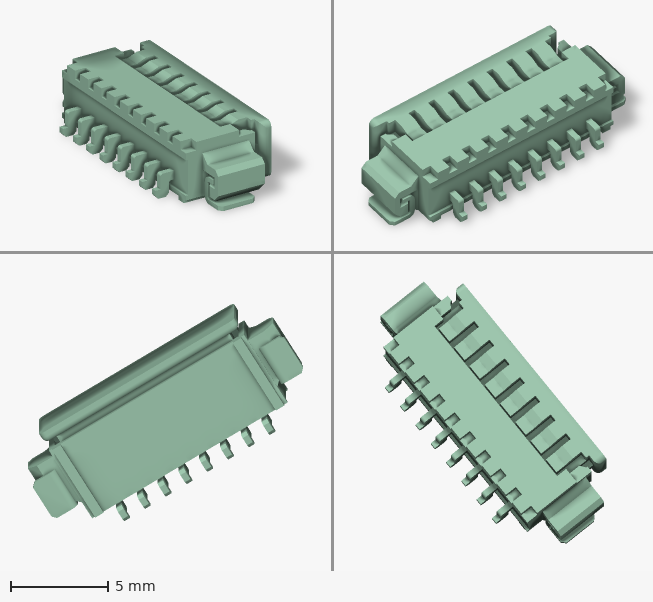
import cadquery as cq

pin_count = 8
contact_row_length = 8.75
pitch = contact_row_length / (pin_count - 1)
total_height = 3.4
total_depth = 6.2
plug_back_y = total_depth / 2
header_depth = 4.23
mate_y = header_depth / 2
window_end_y = 0.55
cavity_floor_z = 0.64
cavity_top_z = 2.55

header_back_y = -mate_y
header_bottom_z = 0.23
cavity_half_x = 5.25
window_half_x = 5.01
lip_top_z = 3.01
lip_end_y = 1.14
mouth_half_x = 5.55
mouth_taper_start_y = 2.03
mouth_taper_end_y = 1.82
recess_bottom_z = 0.5
recess_top_z = 2.51
recess_depth = 0.14
notch_width = 0.5
notch_depth_y = 0.65
notch_depth_z = 0.48
header_half_x = ((pin_count + 1) * pitch + notch_width) / 2
rail_width = 0.5
rail_center_x = 5.44

hook_front_y = -1.1
hook_back_y = 1.74
hook_outer_x = 7.38
hook_top_z = 2.2
hook_top_chamfer = 0.27
hook_shoulder_x = 6.35
hook_lower_z = 0.8
mouth_flare = 0.2

tab_thickness = 0.25
tab_tip_x = 7.58
tab_leg_x = 6.1
tab_arm_x = 6.85
tab_top_z = 1.53
tab_back_y = 1.12
tab_corner = 0.21
tab_inner_radius = 0.12

pin_width = 0.33
pin_top_z = 1.36
pin_thickness = 0.5
pin_leg_y = -2.79
pin_tip_y = -plug_back_y
pin_foot_z = 0.5
pin_foot_chamfer = 0.18
pin_bend_radius = 0.14

flange_front_y = 2.5
flange_bottom_z = 0.21
flange_radius = 0.32
finger_slot_width = 0.4
plug_half_x = (pin_count * pitch + finger_slot_width) / 2
finger_slot_end_y = 2.3
finger_slope_start_y = 1.75
finger_slope_end_y = 1.23
finger_low_z = 3.18
finger_end_y = 0.67
collar_bottom_z = 1.5
collar_top_z = 2.1
collar_dip = 0.06


def box(x0, x1, y0, y1, z0, z1):
    return cq.Workplane("XY").box(x1 - x0, y1 - y0, z1 - z0, centered=False).translate((x0, y0, z0))


def along_y(points, y_front, y_back):
    """Extrude an (x, z) outline from y_front to y_back."""
    return cq.Workplane("XZ", origin=(0, y_back, 0)).polyline(points).close().extrude(y_back - y_front)


def along_z(points, z_bottom, z_top):
    """Extrude an (x, y) outline from z_bottom to z_top."""
    return cq.Workplane("XY", origin=(0, 0, z_bottom)).polyline(points).close().extrude(z_top - z_bottom)


def pitch_positions(count):
    """X of each member of a row of `count` features centred on X = 0."""
    return [(i - (count - 1) / 2) * pitch for i in range(count)]


def header_block():
    block = box(-header_half_x, header_half_x, header_back_y, mate_y, header_bottom_z, total_height)
    recess = box(-header_half_x, header_half_x, header_back_y, header_back_y + recess_depth,
                 recess_bottom_z, recess_top_z)
    block = block.cut(recess)
    for x in pitch_positions(pin_count + 2):
        notch = box(x - notch_width / 2, x + notch_width / 2, header_back_y, header_back_y + notch_depth_y,
                    total_height - notch_depth_z, total_height)
        block = block.cut(notch)
    for x in (-rail_center_x, rail_center_x):
        rail = box(x - rail_width / 2, x + rail_width / 2, header_back_y, mate_y, 0, header_bottom_z)
        block = block.union(rail)
    return block


def mouth_plan(wide_end_y):
    """Plan of the tapered mouth, with its wide end carried to wide_end_y."""
    return [
        (-mouth_half_x, wide_end_y),
        (-mouth_half_x, mouth_taper_start_y),
        (-cavity_half_x, mouth_taper_end_y),
        (cavity_half_x, mouth_taper_end_y),
        (mouth_half_x, mouth_taper_start_y),
        (mouth_half_x, wide_end_y),
    ]


def mating_opening():
    """Cavity, roof window, lowered side walls and tapered mouth, as one cutter."""
    cavity = box(-cavity_half_x, cavity_half_x, window_end_y, mate_y, cavity_floor_z, cavity_top_z)
    window = box(-window_half_x, window_half_x, window_end_y, mate_y, cavity_top_z, total_height)
    lip_gap = box(-cavity_half_x, cavity_half_x, lip_end_y, mate_y, cavity_top_z, total_height)
    above_lips = box(-header_half_x, header_half_x, lip_end_y, mate_y, lip_top_z, total_height)
    mouth = along_z(mouth_plan(mate_y), cavity_floor_z, total_height)
    return cavity.union(window).union(lip_gap).union(above_lips).union(mouth)


def tab_outline(growth=0.0):
    """Sharp-cornered (x, z) outline of the left tab (foot, upright leg, upper arm), grown outward."""
    tip_x = -tab_tip_x - growth
    arm_x = -tab_arm_x - growth
    leg_outer_x = -tab_leg_x - tab_thickness - growth
    leg_inner_x = -tab_leg_x + growth
    arm_bottom_z = tab_top_z - tab_thickness - growth
    arm_top_z = tab_top_z + growth
    foot_bottom_z = -growth
    foot_top_z = tab_thickness + growth
    return [
        (tip_x, foot_bottom_z),
        (leg_inner_x, foot_bottom_z),
        (leg_inner_x, arm_top_z),
        (arm_x, arm_top_z),
        (arm_x, arm_bottom_z),
        (leg_outer_x, arm_bottom_z),
        (leg_outer_x, foot_top_z),
        (tip_x, foot_top_z),
    ]


def left_hook():
    slope_run = hook_lower_z - tab_thickness
    shoulder_rise = hook_shoulder_x - header_half_x
    body = along_y(
        [
            (-header_half_x, tab_thickness),
            (-hook_outer_x + slope_run, tab_thickness),
            (-hook_outer_x, hook_lower_z),
            (-hook_outer_x, hook_top_z - hook_top_chamfer),
            (-hook_outer_x + hook_top_chamfer, hook_top_z),
            (-hook_shoulder_x, hook_top_z),
            (-header_half_x, hook_top_z + shoulder_rise),
        ],
        hook_front_y, hook_back_y,
    )
    flare = (
        cq.Workplane("XZ", origin=(0, hook_front_y + mouth_flare, 0))
        .polyline(tab_outline()).close()
        .workplane(offset=mouth_flare)
        .polyline(tab_outline(mouth_flare)).close()
        .loft(ruled=True)
    )
    return body.cut(flare)


def left_tab():
    tab = along_y(tab_outline(), hook_front_y, tab_back_y)
    middle_y = (hook_front_y + tab_back_y) / 2
    inner_corner_x = -tab_leg_x - tab_thickness
    bends = [
        (-tab_leg_x, 0, tab_inner_radius + tab_thickness),
        (-tab_leg_x, tab_top_z, tab_inner_radius + tab_thickness),
        (inner_corner_x, tab_thickness, tab_inner_radius),
        (inner_corner_x, tab_top_z - tab_thickness, tab_inner_radius),
    ]
    for x, z, radius in bends:
        tab = tab.edges(cq.selectors.NearestToPointSelector((x, middle_y, z))).fillet(radius)
    return tab.edges("|Z and <X").chamfer(tab_corner)


def contact_tail(x):
    root_y = header_back_y + recess_depth
    inner_y = pin_leg_y + pin_thickness
    outline = [
        (root_y, pin_top_z),
        (pin_leg_y, pin_top_z),
        (pin_leg_y, pin_foot_z),
        (pin_tip_y, pin_foot_z),
        (pin_tip_y, pin_foot_chamfer),
        (pin_tip_y + pin_foot_chamfer, 0),
        (inner_y - pin_foot_chamfer, 0),
        (inner_y, pin_foot_chamfer),
        (inner_y, pin_top_z - pin_thickness),
        (root_y, pin_top_z - pin_thickness),
    ]
    tail = cq.Workplane("YZ", origin=(x - pin_width / 2, 0, 0)).polyline(outline).close().extrude(pin_width)
    bends = [(x, pin_leg_y, pin_top_z), (x, inner_y, pin_top_z - pin_thickness)]
    for bend in bends:
        tail = tail.edges(cq.selectors.NearestToPointSelector(bend)).fillet(pin_bend_radius)
    return tail


def make_header():
    header = header_block().cut(mating_opening())
    left_side = left_hook().union(left_tab())
    header = header.union(left_side).union(left_side.mirror("YZ"))
    for x in pitch_positions(pin_count):
        header = header.union(contact_tail(x))
    return header


def plug_flange():
    """Plate rounded along its sides and bottom, with a plain top edge at the front."""
    plate = box(-header_half_x, header_half_x, flange_front_y, plug_back_y, flange_bottom_z, total_height)
    round_below = plate.edges("(|Z and <Y) or (|X and <Y and <Z) or (|Y and <Z)").fillet(flange_radius)
    round_above = plate.edges("|Y and >Z").fillet(flange_radius)
    return round_below.intersect(round_above)


def plug_nose():
    base = box(-plug_half_x, plug_half_x, window_end_y, flange_front_y, cavity_floor_z, cavity_top_z)
    finger_outline = [
        (flange_front_y, cavity_top_z),
        (flange_front_y, total_height),
        (finger_slope_start_y, total_height),
        (finger_slope_end_y, finger_low_z),
        (finger_end_y, finger_low_z),
        (finger_end_y, cavity_top_z),
    ]
    fingers = (
        cq.Workplane("YZ", origin=(-plug_half_x, 0, 0))
        .polyline(finger_outline).close().extrude(2 * plug_half_x)
    )
    for x in pitch_positions(pin_count + 1):
        slot = box(x - finger_slot_width / 2, x + finger_slot_width / 2, finger_end_y, finger_slot_end_y,
                   cavity_top_z, total_height)
        fingers = fingers.cut(slot)
    return base.union(fingers)


def plug_collar():
    """Side shoulders that seat in the tapered mouth of the header."""
    plan = along_z(mouth_plan(flange_front_y), collar_bottom_z, collar_top_z)
    section = along_y(
        [
            (-mouth_half_x, collar_bottom_z),
            (mouth_half_x, collar_bottom_z),
            (mouth_half_x, collar_top_z),
            (plug_half_x, collar_top_z - collar_dip),
            (-plug_half_x, collar_top_z - collar_dip),
            (-mouth_half_x, collar_top_z),
        ],
        mouth_taper_end_y, flange_front_y,
    )
    return plan.intersect(section)


def make_plug():
    return plug_flange().union(plug_nose()).union(plug_collar())


header = make_header()
plug = make_plug()
result = cq.Compound.makeCompound([header.solids().val(), plug.solids().val()])